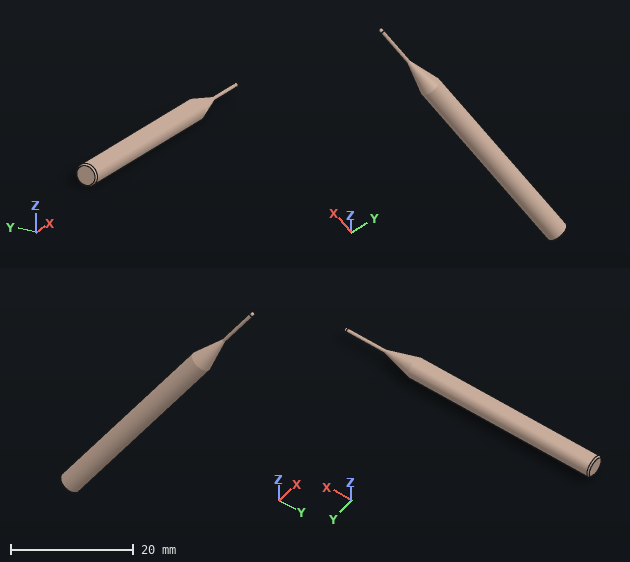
import cadquery as cq
import math

total_length = 50.0
shank_diameter = 4.0
shank_length = 35.9
shank_chamfer = 0.3
taper_length = 6.0
neck_diameter = 0.8
ball_diameter = 0.9
cutter_length = 0.6

shank_radius = shank_diameter / 2
neck_radius = neck_diameter / 2
ball_radius = ball_diameter / 2
taper_end = shank_length + taper_length
cutter_start = total_length - cutter_length
ball_centre = total_length - ball_radius
ball_diagonal = ball_radius * math.sqrt(0.5)

half_profile = (
    cq.Workplane("XY")
    .moveTo(0, 0)
    .lineTo(0, shank_radius - shank_chamfer)
    .lineTo(shank_chamfer, shank_radius)
    .lineTo(shank_length, shank_radius)
    .lineTo(taper_end, neck_radius)
    .lineTo(cutter_start, neck_radius)
    .lineTo(cutter_start, ball_radius)
    .lineTo(ball_centre, ball_radius)
    .threePointArc((ball_centre + ball_diagonal, ball_diagonal), (total_length, 0))
    .close()
)

result = half_profile.revolve(360, (0, 0, 0), (1, 0, 0))